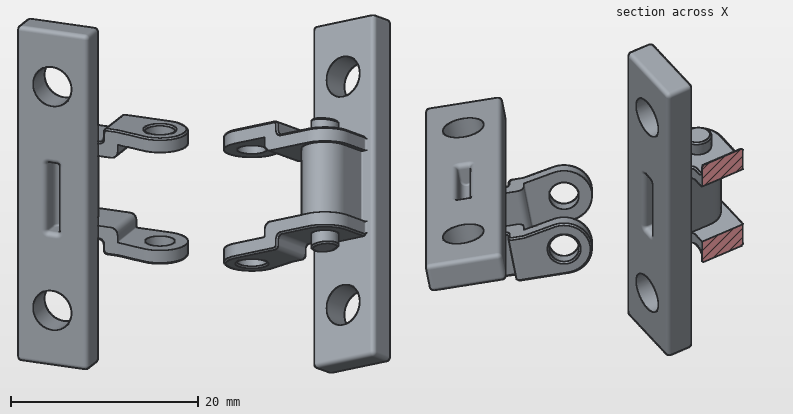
import cadquery as cq
import math

plate_width = 8.3
plate_depth = 3.2
plate_height = 38.0
plate_fillet = 0.5
plate_center_x = plate_width / 2

screw_hole_diameter = 4.45
screw_hole_spacing = 25.4

slot_width = 1.35
slot_length = 7.83
slot_depth = 2.5
slot_corner_radius = 0.23
slot_rim_fillet = 0.57

overall_width = 16.95
axis_y = 6.4
arm_radius = 3.0
arm_thickness = 1.6
arm_outer_z = 7.15
arm_underside_y = 4.18
arm_edge_chamfer = 0.2
step_x = 8.25
step_fillet = 0.5
inner_step_x = 9.95
inner_step_fillet = 0.75
inner_step_root_fillet = 0.15
bend_x = 9.9
bend_radius = 1.33
corner_radius = 0.5
foot_fillet = 0.15
root_depth = 0.38
root_y = plate_depth - root_depth
eye_hole_diameter = 3.2
lug_outer_z = arm_outer_z - arm_thickness
lug_inner_z = lug_outer_z - arm_thickness
eye_center_x = overall_width - arm_radius

barrel_radius = 2.5
pin_radius = 1.5
pin_chamfer = 0.2
pin_end_z = 7.05
pin_end_slant = 6.0


def make_plate():
    plate = cq.Workplane("XY").box(plate_width, plate_depth, plate_height, centered=(False, False, True))
    return plate.edges().fillet(plate_fillet)


def cut_screw_holes(body):
    holes = (
        cq.Workplane("XZ")
        .pushPoints([(plate_center_x, side * screw_hole_spacing / 2) for side in (1, -1)])
        .circle(screw_hole_diameter / 2)
        .extrude(-plate_depth)
    )
    return body.cut(holes)


def cut_slot(body):
    """Cut the slot with its round-bottomed section and rounded rim."""
    half_width = slot_width / 2
    pocket = (
        cq.Workplane("XY", origin=(plate_center_x, 0, -slot_length / 2))
        .moveTo(-half_width, 0)
        .lineTo(half_width, 0)
        .lineTo(half_width, slot_depth - half_width)
        .threePointArc((0, slot_depth), (-half_width, slot_depth - half_width))
        .close()
        .extrude(slot_length)
    )
    pocket = pocket.faces("<Z or >Z").edges("not <Y").fillet(slot_corner_radius)
    body = body.cut(pocket)
    rim_point = (plate_center_x + half_width, 0, 0)
    return body.edges(cq.selectors.NearestToPointSelector(rim_point)).fillet(slot_rim_fillet)


def make_barrel():
    left = plate_center_x - barrel_radius
    right = plate_center_x + barrel_radius
    return (
        cq.Workplane("XY", origin=(0, 0, -lug_inner_z))
        .moveTo(left, root_y)
        .lineTo(left, axis_y)
        .threePointArc((plate_center_x, axis_y + barrel_radius), (right, axis_y))
        .lineTo(right, root_y)
        .close()
        .extrude(2 * lug_inner_z)
    )


def make_arm_outline():
    """Full-height prism of the arm outline seen along the pin axis."""
    left = plate_center_x - arm_radius
    right = plate_center_x + barrel_radius
    top = axis_y + arm_radius
    dx = eye_center_x - bend_x
    dy = axis_y - arm_underside_y
    slope = math.asin(arm_radius / math.hypot(dx, dy)) - math.atan2(dy, dx)
    tangent_point = (
        eye_center_x - arm_radius * math.sin(slope),
        axis_y - arm_radius * math.cos(slope),
    )
    diagonal = arm_radius * math.sqrt(0.5)
    prism = (
        cq.Workplane("XY", origin=(0, 0, lug_inner_z))
        .moveTo(left, root_y)
        .lineTo(left, axis_y)
        .threePointArc((plate_center_x - diagonal, axis_y + diagonal), (plate_center_x, top))
        .lineTo(eye_center_x, top)
        .threePointArc((overall_width, axis_y), tangent_point)
        .lineTo(bend_x, arm_underside_y)
        .lineTo(right + corner_radius, arm_underside_y)
        .radiusArc((right, arm_underside_y - corner_radius), -corner_radius)
        .lineTo(right, root_y)
        .close()
        .extrude(arm_outer_z - lug_inner_z)
    )
    bend_point = (bend_x, arm_underside_y, (lug_inner_z + arm_outer_z) / 2)
    return prism.edges(cq.selectors.NearestToPointSelector(bend_point)).fillet(bend_radius)


def make_arm_step():
    """Stepped strip that gives the arm its thickness."""
    strip = (
        cq.Workplane("XZ")
        .moveTo(0, lug_inner_z)
        .lineTo(inner_step_x, lug_inner_z)
        .lineTo(inner_step_x, lug_outer_z)
        .lineTo(overall_width, lug_outer_z)
        .lineTo(overall_width, arm_outer_z)
        .lineTo(step_x, arm_outer_z)
        .lineTo(step_x, lug_outer_z)
        .lineTo(0, lug_outer_z)
        .close()
        .extrude(-(axis_y + arm_radius))
    )
    rounded_corners = (
        (step_x, arm_outer_z, step_fillet),
        (step_x, lug_outer_z, step_fillet),
        (inner_step_x, lug_inner_z, inner_step_fillet),
        (inner_step_x, lug_outer_z, inner_step_root_fillet),
    )
    for x, z, radius in rounded_corners:
        corner = (x, (axis_y + arm_radius) / 2, z)
        strip = strip.edges(cq.selectors.NearestToPointSelector(corner)).fillet(radius)
    return strip


def make_arm():
    arm = make_arm_outline().intersect(make_arm_step())
    arm = arm.faces(">Z").edges(">X").chamfer(arm_edge_chamfer)
    eye_hole = (
        cq.Workplane("XY", origin=(eye_center_x, axis_y, lug_outer_z))
        .circle(eye_hole_diameter / 2)
        .extrude(arm_thickness)
        .faces(">Z")
        .workplane(offset=-arm_edge_chamfer)
        .circle(eye_hole_diameter / 2)
        .workplane(offset=arm_edge_chamfer)
        .circle(eye_hole_diameter / 2 + arm_edge_chamfer)
        .loft()
    )
    return arm.cut(eye_hole)


def make_pin_end():
    """Pin end cut off at a slight slant that rises toward +X, with a chamfered rim."""
    rise = pin_radius * math.tan(math.radians(pin_end_slant))
    slanted_block = (
        cq.Workplane("XZ", origin=(plate_center_x, axis_y - pin_radius, 0))
        .moveTo(-pin_radius, lug_inner_z)
        .lineTo(pin_radius, lug_inner_z)
        .lineTo(pin_radius, pin_end_z + rise)
        .lineTo(-pin_radius, pin_end_z - rise)
        .close()
        .extrude(-2 * pin_radius)
    )
    pin = (
        cq.Workplane("XY", origin=(plate_center_x, axis_y, lug_inner_z))
        .circle(pin_radius)
        .extrude(arm_outer_z)
        .intersect(slanted_block)
    )
    return pin.faces(">Z").edges().chamfer(pin_chamfer)


def fillet_feet(body):
    """Round the corners where the lug and barrel sides meet the back of the plate."""
    lug_left = plate_center_x - arm_radius
    barrel_left = plate_center_x - barrel_radius
    barrel_right = plate_center_x + barrel_radius
    lug_middle_z = (lug_inner_z + lug_outer_z) / 2
    foot_points = (
        (lug_left, plate_depth, lug_middle_z),
        (lug_left, plate_depth, -lug_middle_z),
        (barrel_left, plate_depth, 0),
        (barrel_right, plate_depth, 0),
    )
    for point in foot_points:
        body = body.edges(cq.selectors.NearestToPointSelector(point)).fillet(foot_fillet)
    return body


plate = cut_slot(cut_screw_holes(make_plate()))
upper_half = make_arm().union(make_pin_end())
lower_half = upper_half.mirror("XY")
joined = plate.union(make_barrel()).union(upper_half).union(lower_half)
result = fillet_feet(joined.clean())